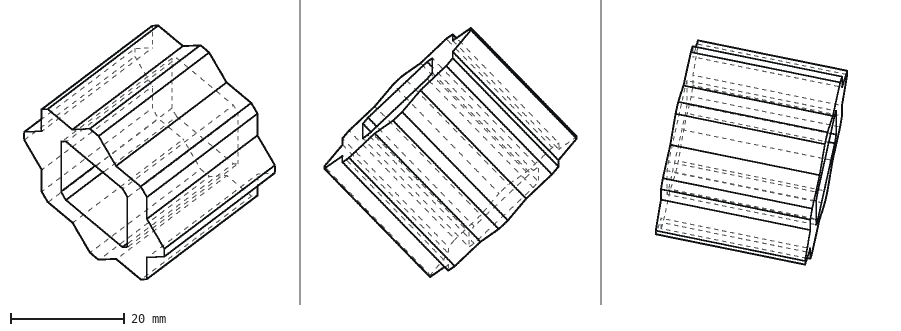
import cadquery as cq

outer_diameter = 36.0
square_side = 27.0
length = 27.0
bore_side = 17.0
bore_corner_diameter = 22.3


def trimmed_square(side, trim_diameter, angle=0):
    """Square bar along Y whose corners are trimmed by a coaxial cylinder."""
    bar = cq.Workplane("XZ").rect(side, side).extrude(length / 2, both=True)
    cylinder = cq.Workplane("XZ").circle(trim_diameter / 2).extrude(length / 2, both=True)
    return bar.rotate((0, 0, 0), (0, 1, 0), angle).intersect(cylinder)


star = trimmed_square(square_side, outer_diameter)
star = star.union(trimmed_square(square_side, outer_diameter, angle=45))

bore = trimmed_square(bore_side, bore_corner_diameter)

result = star.cut(bore)